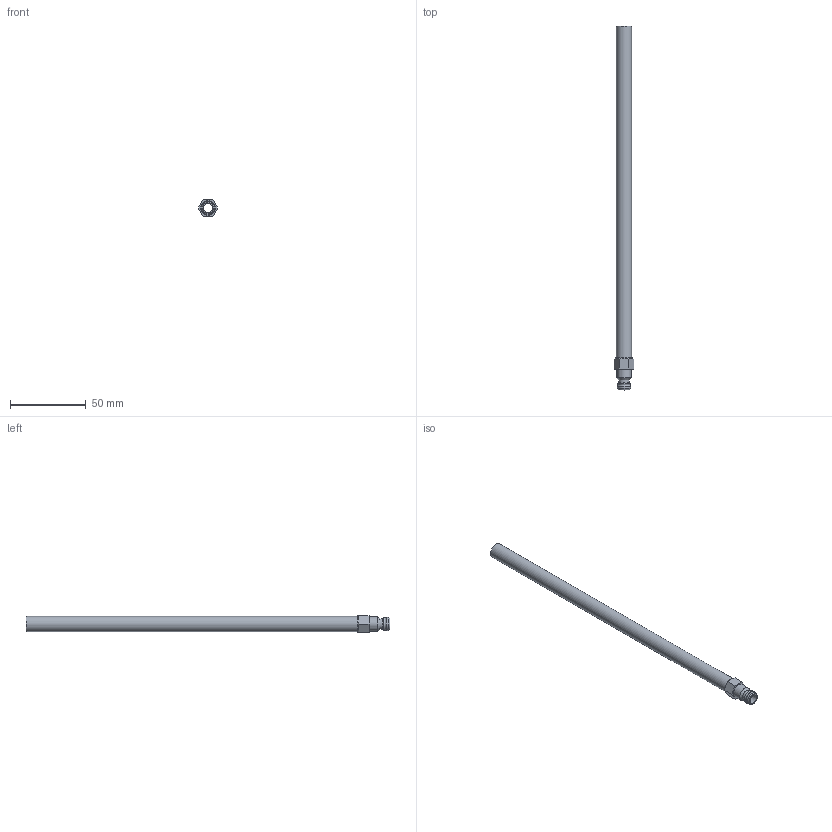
import cadquery as cq
import math

total_length = 240.0
front_y = -total_length / 2
back_y = total_length / 2
bore_diameter = 6.0

tube_diameter = 10.0
hex_across_flats = 11.0
hex_across_corners = hex_across_flats / math.cos(math.pi / 6)
hex_front_y = front_y + 13.8
hex_length = 7.4
hex_chamfer_diameter = 10.6
hex_chamfer_angle = math.radians(45)

collar_diameter = 9.4
collar_front_y = front_y + 8.0
collar_cone_length = 1.4

neck_diameter = 7.0
ring_diameter = 9.2
groove_diameter = 8.4
ring_cone_length = 0.7
ring_back_y = front_y + 4.0
ring_front_y = front_y + 2.5
nose_diameter = 8.6
nose_chamfer_depth = 0.5
nose_chamfer_length = 1.0


def turned_body():
    """Revolve the stepped outside of the plug, collar and tube."""
    nose_radius = nose_diameter / 2
    ring_radius = ring_diameter / 2
    neck_radius = neck_diameter / 2
    collar_radius = collar_diameter / 2
    groove_radius = groove_diameter / 2
    tube_radius = tube_diameter / 2
    profile = (
        cq.Workplane("XY")
        .moveTo(0, front_y)
        .lineTo(nose_radius - nose_chamfer_depth, front_y)
        .lineTo(nose_radius, front_y + nose_chamfer_length)
        .lineTo(nose_radius, ring_front_y)
        .lineTo(ring_radius, ring_front_y)
        .threePointArc((groove_radius, (ring_front_y + ring_back_y) / 2), (ring_radius, ring_back_y))
        .lineTo(neck_radius, ring_back_y + ring_cone_length)
        .lineTo(neck_radius, collar_front_y - collar_cone_length)
        .lineTo(collar_radius, collar_front_y)
        .lineTo(collar_radius, hex_front_y)
        .lineTo(tube_radius, hex_front_y)
        .lineTo(tube_radius, back_y)
        .lineTo(0, back_y)
        .close()
    )
    return profile.revolve(360, (0, 0, 0), (0, 1, 0))


def hexagon():
    """Hexagon with flats at top and bottom and its rear corners chamfered."""
    hex_back_y = hex_front_y + hex_length
    prism = (
        cq.Workplane("XZ", origin=(0, hex_front_y, 0))
        .polygon(6, hex_across_corners)
        .extrude(-hex_length)
    )
    corner_radius = hex_across_corners / 2
    rear_radius = hex_chamfer_diameter / 2
    chamfer_length = (corner_radius - rear_radius) * math.tan(hex_chamfer_angle)
    envelope = (
        cq.Workplane("XY")
        .polyline([
            (0, hex_front_y),
            (corner_radius, hex_front_y),
            (corner_radius, hex_back_y - chamfer_length),
            (rear_radius, hex_back_y),
            (0, hex_back_y),
        ])
        .close()
        .revolve(360, (0, 0, 0), (0, 1, 0))
    )
    return prism.intersect(envelope)


def bore():
    """Through bore along the whole axis."""
    return (
        cq.Workplane("XZ", origin=(0, front_y, 0))
        .circle(bore_diameter / 2)
        .extrude(-total_length)
    )


result = turned_body().union(hexagon()).cut(bore())